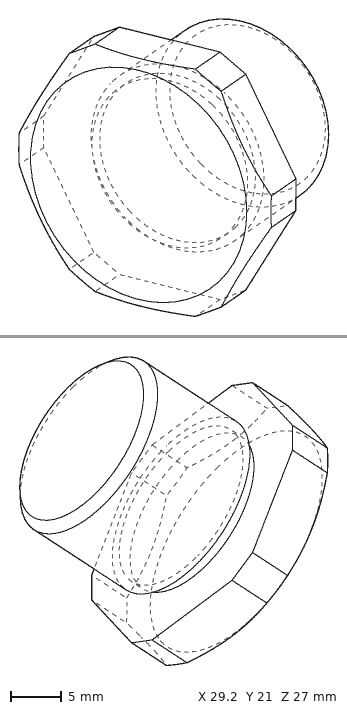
import cadquery as cq
import math

width_across_flats = 27.0
width_across_corners = 29.18
total_length = 21.0
head_thickness = 6.0
face_diameter = 25.0
head_chamfer_angle = 30.0
neck_diameter = 18.0
neck_length = 1.5
shank_diameter = 20.0
shank_chamfer = 1.0

shank_length = total_length - head_thickness - neck_length


def disc(diameter, start, length):
    """Cylinder about the Y axis, from y = start towards +Y."""
    plane = cq.Workplane("XZ", origin=(0, start, 0))
    return plane.circle(diameter / 2).extrude(-length)


def hexagon_prism(across_flats, first_corner_angle):
    """Hexagonal prism as thick as the head, with its front face at y = 0."""
    corner_radius = across_flats / 2 / math.cos(math.pi / 6)
    corner_angles = [math.radians(first_corner_angle + 60 * i) for i in range(6)]
    corners = [(corner_radius * math.cos(a), corner_radius * math.sin(a)) for a in corner_angles]
    return cq.Workplane("XZ").polyline(corners).close().extrude(-head_thickness)


def chamfer_envelope():
    """Turned body whose front cone bevels the corners of the head."""
    face_radius = face_diameter / 2
    outer_radius = width_across_corners
    cone_depth = (outer_radius - face_radius) * math.tan(math.radians(head_chamfer_angle))
    profile = [
        (0, 0),
        (face_radius, 0),
        (outer_radius, cone_depth),
        (0, cone_depth),
    ]
    return cq.Workplane("XY").polyline(profile).close().revolve(360, (0, 0, 0), (0, 1, 0))


head = hexagon_prism(width_across_flats, 0)
head = head.intersect(hexagon_prism(width_across_corners, 30))
head = head.intersect(chamfer_envelope())

neck = disc(neck_diameter, head_thickness, neck_length)

shank = disc(shank_diameter, head_thickness + neck_length, shank_length)
shank = shank.faces(">Y").chamfer(shank_chamfer)

result = head.union(neck).union(shank)